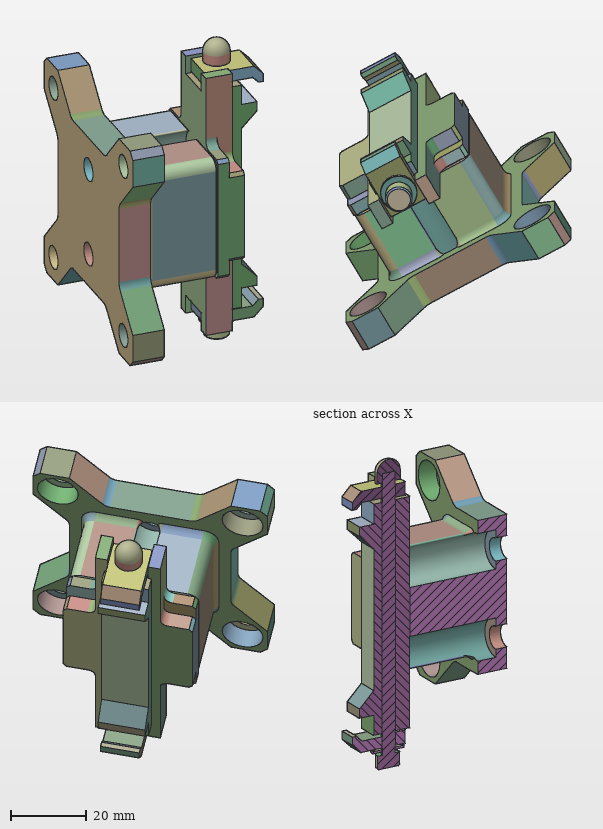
import cadquery as cq

PLATE_SIZE = 63.5
PLATE_THICKNESS = 9.0
PLATE_CORE = 43.8
PLATE_CHAMFER = 1.9
ARM_REACH = 21.9
ARM_FILLET = 3.0
HOLE_DIAMETER = 6.5
CORNER_HOLE_PITCH = 50.0
CORNER_HOLES = [(x * CORNER_HOLE_PITCH / 2, z * CORNER_HOLE_PITCH / 2) for x in (-1, 1) for z in (-1, 1)]
BOSS_HOLES = [(0, z * CORNER_HOLE_PITCH / 4) for z in (-1, 1)]
BOSS_SIZE = 35.0
BOSS_END = 29.95
BOSS_CORNER_RADIUS = 3.0
BOSS_END_CHAMFER = 0.5
FLARE_RADIUS = 3.0
FLARE_SINK = 0.7
COUNTERBORE_DIAMETER = 11.0
COUNTERBORE_FLOOR = 3.5
LIP_FILLET = 0.3

BAR_WIDTH = 17.6
BAR_HEIGHT = 76.0
BAR_BACK = 37.6
WING_SPAN = 35.0
WING_STEP = 33.2
TALL_WING_HEIGHT = 35.0
SHORT_WING_HEIGHT = 25.9
WING_CHAMFER = 1.0
TALL_WING_FILLET = 2.45
SHORT_WING_FILLET = 2.0
SLOT_WIDTH = 11.0
SLOT_DEPTH = 5.2
RAIL_WIDTH = 12.7
RAIL_BACK = 41.2
TOOTH_DEPTH = 4.4
TOOTH_OUTER = 27.15
TOOTH_TIP = 2.7

HOOK_WIDTH = 10.5
HOOK_THICKNESS = 3.3
HOOK_HEEL_THICKNESS = 3.85
HOOK_FRONT = 31.35
HOOK_TIP = 47.8
HOOK_BEVEL = 2.7
HOOK_TIP_WIDTH = 1.4
HOOK_DROP = 1.7
UPPER_HOOK_OUTER = 37.2
LOWER_HOOK_OUTER = 37.0

SCREW_AXIS = 36.5
SCREW_DIAMETER = 4.0
HEAD_DIAMETER = 7.0
HEAD_HEIGHT = 4.0
HEAD_CHAMFER = 0.4
SCREW_BOTTOM = -42.9
OVERALL_HEIGHT = 87.6
NUT_DIAMETER = 7.4
NUT_BOTTOM = 38.2
WASHER_DIAMETER = 9.6
WASHER_THICKNESS = 1.1
WASHER_DISC = 0.8
WASHER_TOOTH_COUNT = 18
WASHER_TOOTH_WIDTH = 0.8
WASHER_TOOTH_LENGTH = 0.7

NUT_TOP = SCREW_BOTTOM + OVERALL_HEIGHT
DOME_START = NUT_TOP - NUT_DIAMETER / 2
SELECT_MARGIN = 0.1


def slab(y_start, y_end):
    """Workplane at y_start, plus the extrusion length that reaches y_end (local axes are X and Z)."""
    plane = cq.Plane(origin=(0, y_start, 0), xDir=(1, 0, 0), normal=(0, -1, 0))
    return cq.Workplane(plane), y_start - y_end


def block(width, height, y_start, y_end, z_centre=0.0):
    plane, length = slab(y_start, y_end)
    return plane.center(0, z_centre).rect(width, height).extrude(length)


def rod(diameter, z_start, z_end):
    """Cylinder on the screw axis."""
    base = cq.Workplane("XY", origin=(0, SCREW_AXIS, z_start))
    return base.circle(diameter / 2).extrude(z_end - z_start)


def side_profile(points, width):
    """Extrude a (Y, Z) outline symmetrically across X."""
    return cq.Workplane("YZ").polyline(points).close().extrude(width / 2, both=True)


def edge_box(half_width, y_start, y_end, half_height):
    """Selector for edges centred inside a box around the Y axis."""
    x = half_width + SELECT_MARGIN
    z = half_height + SELECT_MARGIN
    return cq.selectors.BoxSelector((-x, y_start - SELECT_MARGIN, -z), (x, y_end + SELECT_MARGIN, z))


def make_plate():
    half = PLATE_SIZE / 2
    core = PLATE_CORE / 2
    notch = core + ARM_REACH - half
    plate = block(PLATE_SIZE, PLATE_SIZE, 0, PLATE_THICKNESS).edges("|Y").chamfer(PLATE_CHAMFER)
    notch_outline = [(-ARM_REACH, half), (-notch, core), (notch, core), (ARM_REACH, half)]
    for turn in range(4):
        plane, length = slab(0, PLATE_THICKNESS)
        cutter = plane.polyline(notch_outline).close().extrude(length)
        cutter = cutter.edges("|Y and <Z").fillet(ARM_FILLET)
        plate = plate.cut(cutter.rotate((0, 0, 0), (0, 1, 0), turn * 90))
    return plate


def cut_holes(body, points, diameter, y_start, y_end):
    plane, length = slab(y_start, y_end)
    return body.cut(plane.pushPoints(points).circle(diameter / 2).extrude(length))


def make_boss():
    """Boss whose counterbores break out above and below, with a flare where it meets the plate."""
    root_top = PLATE_THICKNESS - FLARE_SINK
    half = BOSS_SIZE / 2
    boss = block(BOSS_SIZE, BOSS_SIZE, root_top, BOSS_END).edges("|Y").fillet(BOSS_CORNER_RADIUS)
    boss = boss.faces(">Y").chamfer(BOSS_END_CHAMFER)
    boss = cut_holes(boss, BOSS_HOLES, COUNTERBORE_DIAMETER, root_top, BOSS_END)
    lips = edge_box(COUNTERBORE_DIAMETER / 2, root_top, BOSS_END, half)
    boss = boss.edges("|Y").edges(lips).fillet(LIP_FILLET)

    root = block(PLATE_CORE, PLATE_CORE, 0, root_top)
    root_edges = edge_box(half, root_top, root_top, half)
    return boss.union(root).edges(root_edges).fillet(FLARE_RADIUS)


def make_mount():
    """Plate and boss with six holes, all counterbored from the carrier side."""
    mount = make_plate().union(make_boss())
    holes = CORNER_HOLES + BOSS_HOLES
    mount = cut_holes(mount, holes, HOLE_DIAMETER, 0, COUNTERBORE_FLOOR)
    return cut_holes(mount, holes, COUNTERBORE_DIAMETER, COUNTERBORE_FLOOR, BOSS_END)


def make_wing_layer(height, corner_radius, y_start, y_end):
    """Bar and wings of one layer, with chamfered wing corners and filleted inner corners."""
    wings = block(WING_SPAN, height, y_start, y_end).edges("|Y").chamfer(WING_CHAMFER)
    layer = wings.union(block(BAR_WIDTH, BAR_HEIGHT, y_start, y_end))
    inner = edge_box(BAR_WIDTH / 2, y_start, y_end, height / 2)
    return layer.edges("|Y").edges(inner).fillet(corner_radius)


def make_rail():
    end = BAR_HEIGHT / 2 - SLOT_DEPTH
    tip_inner = TOOTH_OUTER - TOOTH_TIP
    upper = [
        (RAIL_BACK, tip_inner - TOOTH_DEPTH),
        (RAIL_BACK + TOOTH_DEPTH, tip_inner),
        (RAIL_BACK + TOOTH_DEPTH, TOOTH_OUTER),
        (RAIL_BACK, TOOTH_OUTER),
        (RAIL_BACK, end),
        (BAR_BACK, end),
    ]
    lower = [(y, -z) for y, z in reversed(upper)]
    return side_profile(upper + lower, RAIL_WIDTH)


def make_carrier():
    carrier = make_wing_layer(TALL_WING_HEIGHT, TALL_WING_FILLET, BOSS_END, WING_STEP)
    carrier = carrier.union(make_wing_layer(SHORT_WING_HEIGHT, SHORT_WING_FILLET, WING_STEP, BAR_BACK))
    for side in (-1, 1):
        slot_centre = side * (BAR_HEIGHT - SLOT_DEPTH) / 2
        carrier = carrier.cut(block(SLOT_WIDTH, SLOT_DEPTH, BOSS_END, BAR_BACK, slot_centre))
    carrier = carrier.union(make_rail())
    return carrier.cut(rod(SCREW_DIAMETER, -BAR_HEIGHT / 2, BAR_HEIGHT / 2))


def make_hook(side, outer):
    """Hook with its arm in an end slot of the bar; side is +1 for the upper one, -1 for the lower."""
    inner = outer - HOOK_THICKNESS
    heel_inner = outer - HOOK_HEEL_THICKNESS
    tip_end = inner - HOOK_DROP
    outline = [
        (HOOK_FRONT, outer),
        (HOOK_TIP - HOOK_BEVEL, outer),
        (HOOK_TIP, outer - HOOK_BEVEL),
        (HOOK_TIP, tip_end),
        (HOOK_TIP - HOOK_TIP_WIDTH, tip_end),
        (HOOK_TIP - HOOK_TIP_WIDTH - HOOK_DROP, inner),
        (BAR_BACK, inner),
        (BAR_BACK, heel_inner),
        (HOOK_FRONT, heel_inner),
    ]
    hook = side_profile([(y, side * z) for y, z in outline], HOOK_WIDTH)
    return hook.cut(rod(SCREW_DIAMETER, -BAR_HEIGHT / 2, BAR_HEIGHT / 2))


def make_screw():
    head_top = SCREW_BOTTOM + HEAD_HEIGHT
    head = rod(HEAD_DIAMETER, SCREW_BOTTOM, head_top).faces("<Z").chamfer(HEAD_CHAMFER)
    return head.union(rod(SCREW_DIAMETER, head_top, DOME_START))


def make_nut():
    """Domed nut whose bore takes the end of the screw."""
    ball = cq.Workplane("XY", origin=(0, SCREW_AXIS, DOME_START)).sphere(NUT_DIAMETER / 2)
    dome = ball.intersect(rod(NUT_DIAMETER, DOME_START, NUT_TOP))
    nut = rod(NUT_DIAMETER, NUT_BOTTOM, DOME_START).union(dome)
    return nut.cut(rod(SCREW_DIAMETER, NUT_BOTTOM, DOME_START))


def make_washer():
    """Washer with a ring of teeth that bear on the lower hook."""
    top = -LOWER_HOOK_OUTER
    bottom = top - WASHER_THICKNESS
    washer = rod(WASHER_DIAMETER, bottom, bottom + WASHER_DISC)
    tooth_plane = cq.Workplane("XY", origin=(0, SCREW_AXIS, bottom))
    tooth_radius = (WASHER_DIAMETER - WASHER_TOOTH_LENGTH) / 2
    teeth = tooth_plane.polarArray(tooth_radius, 0, 360, WASHER_TOOTH_COUNT)
    teeth = teeth.rect(WASHER_TOOTH_LENGTH, WASHER_TOOTH_WIDTH).extrude(WASHER_THICKNESS)
    teeth = teeth.intersect(rod(WASHER_DIAMETER, bottom, top))
    return washer.union(teeth).cut(rod(SCREW_DIAMETER, bottom, top))


mount = make_mount()
carrier = make_carrier()
upper_hook = make_hook(1, UPPER_HOOK_OUTER)
lower_hook = make_hook(-1, LOWER_HOOK_OUTER)
screw = make_screw()
nut = make_nut()
washer = make_washer()

result = cq.Compound.makeCompound(
    [body.val() for body in (mount, carrier, upper_hook, lower_hook, screw, nut, washer)]
)